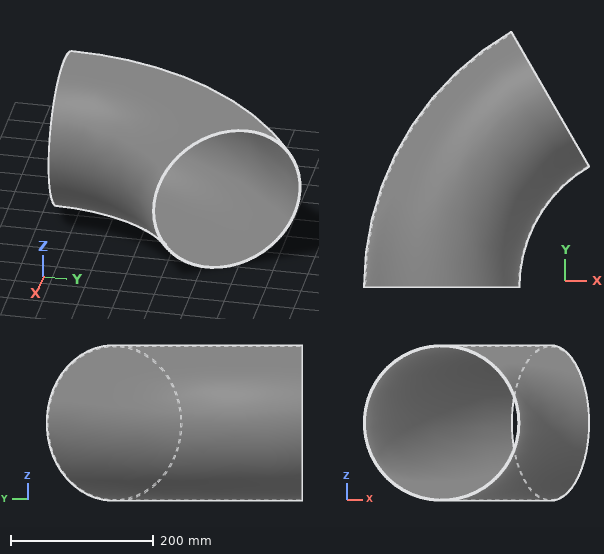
import cadquery as cq
import math

length_y = 359.0
outer_diameter = 219.0
wall_thickness = 2.0
bend_angle = 60.0

outer_radius = outer_diameter / 2
inner_radius = outer_radius - wall_thickness
bend_radius = length_y / math.sin(math.radians(bend_angle)) - outer_radius


def pipe_elbow():
    """Sweep the pipe ring from the XZ plane around a vertical axis on the +X side."""
    ring = cq.Workplane("XZ").circle(outer_radius).circle(inner_radius)
    axis_start = (bend_radius, 0)
    axis_end = (bend_radius, -1)
    return ring.revolve(bend_angle, axis_start, axis_end)


result = pipe_elbow()